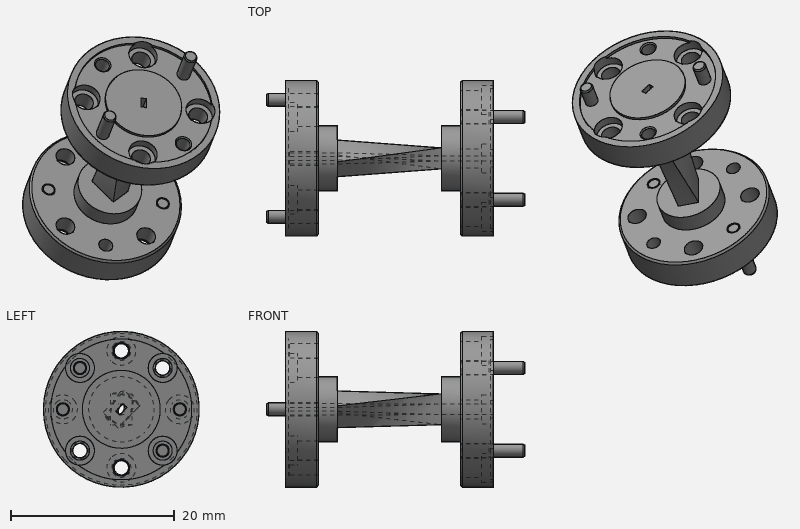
import cadquery as cq
import math

flange_dia = 19.05
flange_thickness = 4.05
rim_chamfer = 0.25
left_face_x = -13.48
right_face_x = 11.93

recess_outer_dia = 17.23
recess_inner_dia = 9.53
recess_depth = 0.35

hub_dia = 8.0
hub_length = 2.3

bolt_circle_dia = 14.3
hole_spacing = 45
bolt_hole_dia = 2.35
counterbore_dia = 3.55
counterbore_depth = 1.45
dowel_hole_dia = 1.75
dowel_hole_chamfer = 0.15
opposed = 180
left_pin_angle = 0
right_pin_angle = 45

pin_dia = 1.6
pin_chamfer_length = 0.22
pin_chamfer_width = 0.13
left_pin_tip_x = -15.78
right_pin_tip_x = 15.78

tube_width = 2.6
tube_height = 3.8
bore_width = 0.647
bore_height = 1.3
left_twist = 45
right_twist = 0

left_back_x = left_face_x + flange_thickness
right_back_x = right_face_x - flange_thickness
tube_start_x = left_back_x + hub_length
tube_end_x = right_back_x - hub_length


def ring_points(start_angle, step):
    """(y, z) points of the bolt circle, from start_angle in equal steps."""
    radius = bolt_circle_dia / 2
    angles = [math.radians(start_angle + turn) for turn in range(0, 360, step)]
    return [(radius * math.cos(angle), radius * math.sin(angle)) for angle in angles]


def cylinders(points, diameter, start_x, end_x):
    """Cylinders along X, centred on the (y, z) points."""
    return (
        cq.Workplane("YZ", origin=(start_x, 0, 0))
        .pushPoints(points)
        .circle(diameter / 2)
        .extrude(end_x - start_x)
    )


def rectangle_wire(x, width, height, twist):
    """Rectangle across the X axis, turned from +Z towards -Y by the twist."""
    angle = math.radians(twist)
    corners = []
    for side, up in [(-1, -1), (1, -1), (1, 1), (-1, 1)]:
        y = side * width / 2
        z = up * height / 2
        corners.append(
            cq.Vector(
                x,
                y * math.cos(angle) - z * math.sin(angle),
                y * math.sin(angle) + z * math.cos(angle),
            )
        )
    return cq.Wire.makePolygon(corners, close=True)


def twisted_bar(width, height, start_x, end_x, start_twist, end_twist):
    """Rectangular bar along X whose straight-ruled sides turn between its two ends."""
    return cq.Workplane(
        cq.Solid.makeLoft(
            [
                rectangle_wire(start_x, width, height, start_twist),
                rectangle_wire(end_x, width, height, end_twist),
            ],
            True,
        )
    )


def flange(face_x, back_x, pin_angle):
    """Flange disc with its hub, recess and hole pattern; the outer face is at face_x."""
    inward = math.copysign(1, back_x - face_x)
    axis = [(0, 0)]
    disc = cylinders(axis, flange_dia, face_x, back_x)
    back_edge = ">X" if inward > 0 else "<X"
    disc = disc.faces(back_edge).edges().chamfer(rim_chamfer)
    disc = disc.union(cylinders(axis, hub_dia, back_x, back_x + inward * hub_length))

    floor_x = face_x + inward * recess_depth
    recess = cylinders(axis, recess_outer_dia, face_x, floor_x)
    disc = disc.cut(recess.cut(cylinders(axis, recess_inner_dia, face_x, floor_x)))

    bolt_points = ring_points(pin_angle + hole_spacing, 2 * hole_spacing)
    disc = disc.cut(cylinders(bolt_points, bolt_hole_dia, face_x, back_x))
    seat_x = face_x + inward * counterbore_depth
    disc = disc.cut(cylinders(bolt_points, counterbore_dia, face_x, seat_x))

    for y, z in ring_points(pin_angle + 2 * hole_spacing, opposed):
        disc = disc.cut(cylinders([(y, z)], dowel_hole_dia, face_x, back_x))
        countersink = cq.Solid.makeCone(
            dowel_hole_dia / 2 + dowel_hole_chamfer,
            dowel_hole_dia / 2,
            dowel_hole_chamfer,
            pnt=cq.Vector(floor_x, y, z),
            dir=cq.Vector(inward, 0, 0),
        )
        disc = disc.cut(cq.Workplane(countersink))
    return disc.cut(cylinders(ring_points(pin_angle, opposed), pin_dia, face_x, back_x))


def make_waveguide():
    """Both flanges joined by the twisted tube, with the waveguide bore through all of it."""
    body = twisted_bar(tube_width, tube_height, tube_start_x, tube_end_x, left_twist, right_twist)
    body = body.union(flange(left_face_x, left_back_x, left_pin_angle))
    body = body.union(flange(right_face_x, right_back_x, right_pin_angle))

    stations = [
        (left_face_x, left_twist),
        (tube_start_x, left_twist),
        (tube_end_x, right_twist),
        (right_face_x, right_twist),
    ]
    for (start_x, start_twist), (end_x, end_twist) in zip(stations, stations[1:]):
        body = body.cut(twisted_bar(bore_width, bore_height, start_x, end_x, start_twist, end_twist))
    return body


def make_pin(y, z, end_x, tip_x):
    """Dowel pin chamfered at both ends, from the flange's back face to its tip."""
    pin = cylinders([(y, z)], pin_dia, end_x, tip_x)
    return pin.faces("<X or >X").chamfer(pin_chamfer_length, pin_chamfer_width)


waveguide = make_waveguide()

pins = []
for y, z in ring_points(left_pin_angle, opposed):
    pins.append(make_pin(y, z, left_back_x, left_pin_tip_x))
for y, z in ring_points(right_pin_angle, opposed):
    pins.append(make_pin(y, z, right_back_x, right_pin_tip_x))

result = cq.Compound.makeCompound([waveguide.val(), *[pin.val() for pin in pins]])